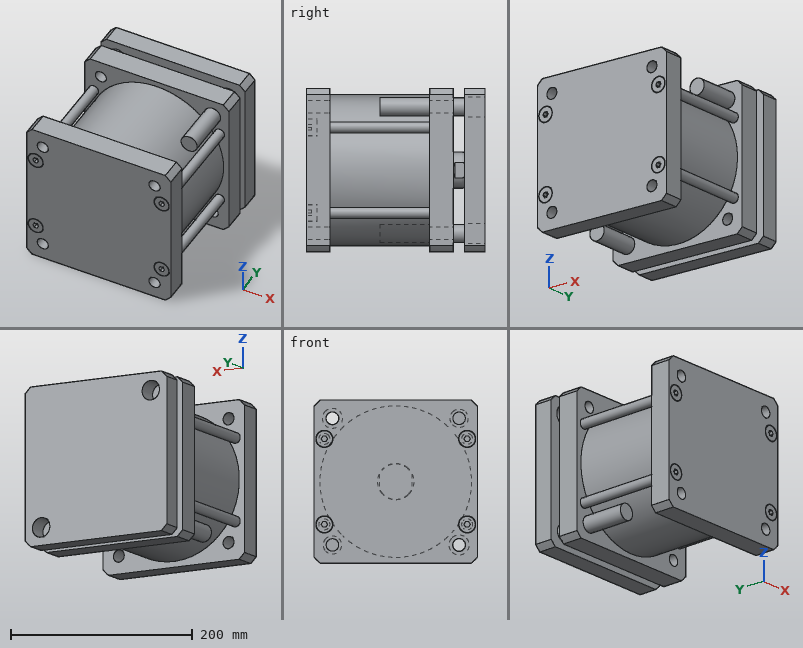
import cadquery as cq

plate_side = 180.0
turned_corner_diameter = 245.0
total_length = 197.0
cover_thickness = 26.0
tool_thickness = 23.0
barrel_length = 110.0
barrel_diameter = 167.0

front_y = -total_length / 2
barrel_start_y = front_y + cover_thickness
barrel_end_y = barrel_start_y + barrel_length
rear_cover_end_y = barrel_end_y + cover_thickness
back_y = total_length / 2
tool_start_y = back_y - tool_thickness

piston_rod_diameter = 40.0
flats_width = 36.0
flats_margin = 2.0
rod_chamfer_length = 2.0
rod_chamfer_height = 0.4

corner_offset = 69.7
corner_hole_diameter = 13.8
tool_hole_diameter = 22.0
guide_rod_diameter = 20.0
guide_rod_overhang = 55.0

tie_offset_x = 78.6
tie_offset_z = 47.0
tie_rod_diameter = 12.0
head_diameter = 18.0
counterbore_diameter = 19.0
head_depth = 12.0
socket_across_corners = 6.9
socket_depth = 6.0

all_corners = [(x, z) for x in (-corner_offset, corner_offset) for z in (-corner_offset, corner_offset)]
guide_corners = [(x, z) for x, z in all_corners if x == z]
open_corners = [(x, z) for x, z in all_corners if x != z]
tie_points = [(x, z) for x in (-tie_offset_x, tie_offset_x) for z in (-tie_offset_z, tie_offset_z)]


def sketch_at(y):
    """Workplane facing -Y at the given y, so negative extrusions run towards +Y."""
    return cq.Workplane(cq.Plane(origin=(0, y, 0), xDir=(1, 0, 0), normal=(0, -1, 0)))


def plate(start_y, end_y):
    """Square plate whose corners are turned down to a large common diameter."""
    square = sketch_at(start_y).rect(plate_side, plate_side).extrude(start_y - end_y)
    return square.intersect(cylinders(turned_corner_diameter, start_y, end_y))


def cylinders(diameter, start_y, end_y, points=((0, 0),)):
    return sketch_at(start_y).pushPoints(points).circle(diameter / 2).extrude(start_y - end_y)


def piston_rod():
    rod = cylinders(piston_rod_diameter, rear_cover_end_y, tool_start_y)
    rod = rod.faces(">Y").chamfer(rod_chamfer_length, rod_chamfer_height)
    half_flats = flats_width / 2
    half_rod = piston_rod_diameter / 2
    slope_end_y = rear_cover_end_y + flats_margin
    slope_start_y = slope_end_y - (half_rod - half_flats)
    flat = (
        cq.Workplane("XY")
        .polyline(
            [
                (half_flats, tool_start_y),
                (half_flats, slope_end_y),
                (half_rod, slope_start_y),
                (half_rod, tool_start_y),
            ]
        )
        .close()
        .extrude(half_rod, both=True)
    )
    return rod.cut(flat).cut(flat.mirror("YZ"))


def screw_clearance():
    """Narrow ring around each screw head, and its hexagon socket."""
    head_end_y = front_y + head_depth
    rings = cylinders(counterbore_diameter, front_y, head_end_y, tie_points).cut(
        cylinders(head_diameter, front_y, head_end_y, tie_points)
    )
    hexagons = sketch_at(front_y).pushPoints(tie_points).polygon(6, socket_across_corners)
    sockets = hexagons.extrude(-socket_depth)
    return rings.union(sockets)


front_cover = plate(front_y, barrel_start_y)
front_cover = front_cover.cut(cylinders(corner_hole_diameter, front_y, barrel_start_y, all_corners))
front_cover = front_cover.cut(screw_clearance())

result = (
    front_cover.union(cylinders(barrel_diameter, barrel_start_y, barrel_end_y))
    .union(cylinders(tie_rod_diameter, barrel_start_y, barrel_end_y, tie_points))
    .union(plate(barrel_end_y, rear_cover_end_y))
    .union(piston_rod())
    .union(cylinders(guide_rod_diameter, barrel_end_y - guide_rod_overhang, tool_start_y, guide_corners))
    .union(plate(tool_start_y, back_y))
    .cut(cylinders(corner_hole_diameter, barrel_end_y, rear_cover_end_y, open_corners))
    .cut(cylinders(tool_hole_diameter, tool_start_y, back_y, open_corners))
)